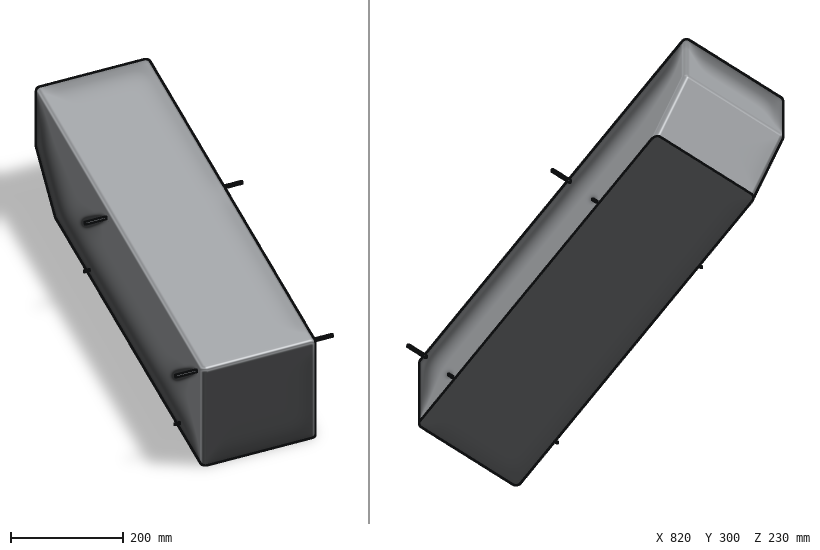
import cadquery as cq

length = 820.0
width = 220.0
height = 230.0
bevel_length = 90.0
bevel_height = 88.0
edge_radius = 10.0

pin_pitch = 440.0
upper_pin_x = 351.0
upper_pin_z = 205.0
upper_pin_diameter = 5.0
upper_pin_span = 300.0
lower_pin_x = 270.0
lower_pin_z = 13.0
lower_pin_diameter = 3.0
lower_pin_span = 239.5


def make_body():
    """Box with a bevelled lower edge; every edge off the flat bottom is rounded."""
    profile = [
        (bevel_length, 0),
        (length, 0),
        (length, height),
        (0, height),
        (0, bevel_height),
    ]
    block = cq.Workplane("XZ").polyline(profile).close().extrude(width / 2, both=True)
    bottom_edges = block.faces("<Z").edges().vals()
    rounded_edges = [
        edge for edge in block.edges().vals()
        if not any(edge.isSame(other) for other in bottom_edges)
    ]
    return block.newObject(rounded_edges).fillet(edge_radius)


def make_pin_row(first_x, z, diameter, span):
    """Two pins along Y, each passing through the body and out of both sides."""
    centres = [(first_x, z), (first_x + pin_pitch, z)]
    return (
        cq.Workplane("XZ")
        .pushPoints(centres)
        .circle(diameter / 2)
        .extrude(span / 2, both=True)
    )


upper_pins = make_pin_row(upper_pin_x, upper_pin_z, upper_pin_diameter, upper_pin_span)
lower_pins = make_pin_row(lower_pin_x, lower_pin_z, lower_pin_diameter, lower_pin_span)
result = make_body().union(upper_pins).union(lower_pins)